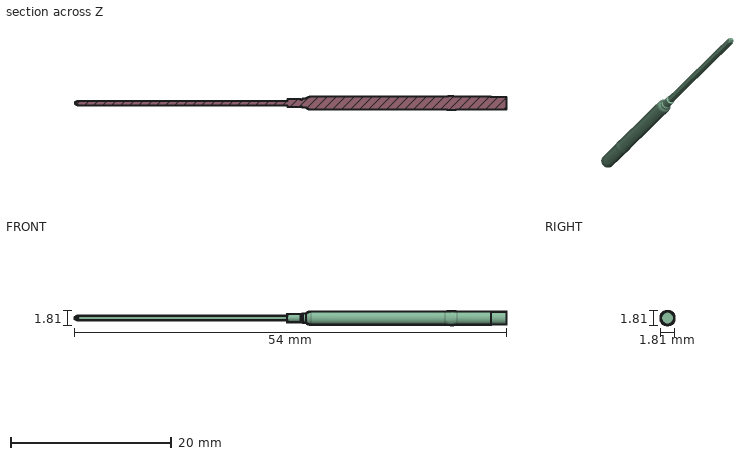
import cadquery as cq
import math

total_length = 53.95
tip_x = -total_length / 2
rear_x = total_length / 2

blade_length = 26.55
blade_side = 0.6
tip_flat_diameter = 0.2
tip_half_angle = 28.0

collar_diameter = 1.05
collar_length = 1.65
groove_diameter = 0.85
groove_width = 0.3
lip_diameter = 1.19
lip_length = 0.4

barrel_diameter = 1.68
nose_length = 0.6
press_ring_diameter = 1.81
press_ring_length = 1.5
press_ring_setback = 7.7
cap_diameter = 1.64
cap_length = 1.95

collar_x = tip_x + blade_length
groove_x = collar_x + collar_length
lip_x = groove_x + groove_width
nose_x = lip_x + lip_length
nose_end_x = nose_x + nose_length
ring_x = rear_x - press_ring_setback
ring_end_x = ring_x + press_ring_length
cap_x = rear_x - cap_length


def revolve_about_x(profile):
    """Turn a closed XY profile a full circle about the X axis."""
    return profile.revolve(360, (0, 0, 0), (1, 0, 0))


def make_blade():
    """Square bar whose front end is trimmed to a truncated cone."""
    bar = cq.Workplane("YZ", origin=(tip_x, 0, 0)).rect(blade_side, blade_side).extrude(blade_length)

    tip_radius = tip_flat_diameter / 2
    envelope_radius = blade_side
    cone_length = (envelope_radius - tip_radius) / math.tan(math.radians(tip_half_angle))
    envelope = (
        cq.Workplane("XY")
        .moveTo(tip_x, 0)
        .lineTo(tip_x, tip_radius)
        .lineTo(tip_x + cone_length, envelope_radius)
        .lineTo(collar_x, envelope_radius)
        .lineTo(collar_x, 0)
        .close()
    )
    return bar.intersect(revolve_about_x(envelope))


def nose_arc_midpoint():
    """Middle of the nose arc, which rises from the lip and ends tangent to the barrel."""
    barrel_radius = barrel_diameter / 2
    rise = barrel_radius - lip_diameter / 2
    arc_radius = (nose_length**2 + rise**2) / (2 * rise)
    half_sweep = math.asin(nose_length / arc_radius) / 2
    x = nose_end_x - arc_radius * math.sin(half_sweep)
    y = barrel_radius - arc_radius * (1 - math.cos(half_sweep))
    return x, y


def make_turned_body():
    """Collar, groove, lip, barrel, press ring and cap as one turned profile."""
    groove_bottom = (groove_x + groove_width / 2, groove_diameter / 2)
    ring_crest = (ring_x + press_ring_length / 2, press_ring_diameter / 2)
    profile = (
        cq.Workplane("XY")
        .moveTo(collar_x, 0)
        .lineTo(collar_x, collar_diameter / 2)
        .lineTo(groove_x, collar_diameter / 2)
        .lineTo(*groove_bottom)
        .lineTo(lip_x, lip_diameter / 2)
        .lineTo(nose_x, lip_diameter / 2)
        .threePointArc(nose_arc_midpoint(), (nose_end_x, barrel_diameter / 2))
        .lineTo(ring_x, barrel_diameter / 2)
        .threePointArc(ring_crest, (ring_end_x, barrel_diameter / 2))
        .lineTo(cap_x, barrel_diameter / 2)
        .lineTo(cap_x, cap_diameter / 2)
        .lineTo(rear_x, cap_diameter / 2)
        .lineTo(rear_x, 0)
        .close()
    )
    return revolve_about_x(profile)


result = make_blade().union(make_turned_body())